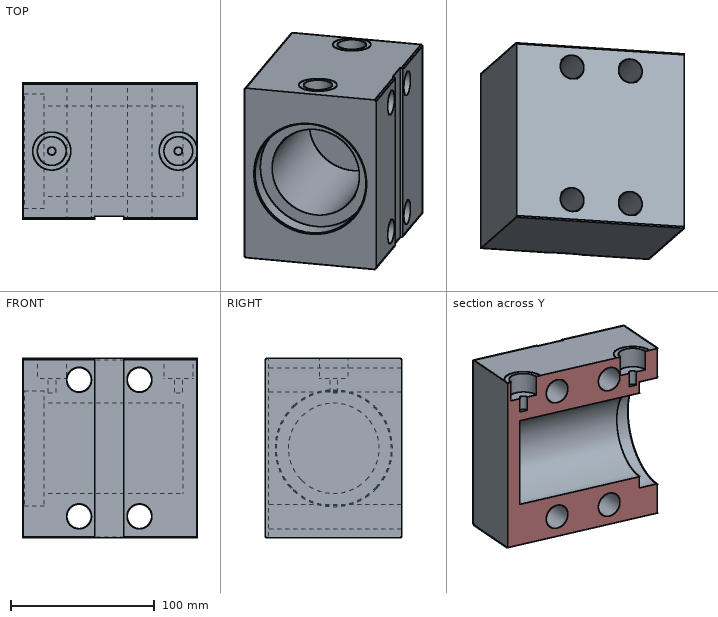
import cadquery as cq

LENGTH = 121.0
WIDTH = 95.0
HEIGHT = 125.0
EDGE_CHAMFER = 1.0

BORE_DIAMETER = 63.0
END_WALL = 10.0
BORE_DEPTH = LENGTH - END_WALL
RECESS_DIAMETER = 80.0
RECESS_DEPTH = 14.5
RECESS_CHAMFER = 0.75

SLOT_CENTER_X = 60.0
SLOT_WIDTH = 20.0
SLOT_DEPTH = 2.0

BOLT_DIAMETER = 17.0
BOLT_SPACING_X = 42.0
BOLT_SPACING_Z = 95.0

PORT_POSITIONS_X = (20.0, 108.0)
SPOTFACE_DIAMETER = 26.5
SPOTFACE_DEPTH = 0.1
PORT_DIAMETER = 20.0
PORT_DEPTH = 14.0
PILOT_DIAMETER = 5.5
PILOT_DEPTH = 10.0

TOP = HEIGHT / 2
FRONT = -WIDTH / 2


def make_block():
    """Block with its four long edges chamfered."""
    block = cq.Workplane("XY").box(LENGTH, WIDTH, HEIGHT, centered=(False, True, True))
    return block.edges("|X").chamfer(EDGE_CHAMFER)


def make_bore():
    """Bore and wider entry recess with a chamfered mouth, revolved about X."""
    bore_radius = BORE_DIAMETER / 2
    recess_radius = RECESS_DIAMETER / 2
    profile = (
        cq.Workplane("XY")
        .lineTo(0, recess_radius + RECESS_CHAMFER)
        .lineTo(RECESS_CHAMFER, recess_radius)
        .lineTo(RECESS_DEPTH, recess_radius)
        .lineTo(RECESS_DEPTH, bore_radius)
        .lineTo(BORE_DEPTH, bore_radius)
        .lineTo(BORE_DEPTH, 0)
        .close()
    )
    return profile.revolve(360, (0, 0, 0), (1, 0, 0))


def make_slot():
    slot = cq.Workplane("XY").box(SLOT_WIDTH, 2 * SLOT_DEPTH, HEIGHT)
    return slot.translate((SLOT_CENTER_X, FRONT, 0))


def make_bolt_holes():
    return (
        cq.Workplane("XZ", origin=(SLOT_CENTER_X, 0, 0))
        .rarray(BOLT_SPACING_X, BOLT_SPACING_Z, 2, 2)
        .circle(BOLT_DIAMETER / 2)
        .extrude(WIDTH / 2, both=True)
    )


def make_port(x):
    """Spotface, port and flat-bottomed pilot hole stepping down from the top face."""
    top_plane = cq.Workplane("XY", origin=(x, 0, TOP))
    spotface = top_plane.circle(SPOTFACE_DIAMETER / 2).extrude(-SPOTFACE_DEPTH)
    port = top_plane.circle(PORT_DIAMETER / 2).extrude(-PORT_DEPTH)
    pilot = top_plane.circle(PILOT_DIAMETER / 2).extrude(-(PORT_DEPTH + PILOT_DEPTH))
    return spotface.union(port).union(pilot)


result = make_block().cut(make_bore()).cut(make_slot()).cut(make_bolt_holes())
for port_x in PORT_POSITIONS_X:
    result = result.cut(make_port(port_x))